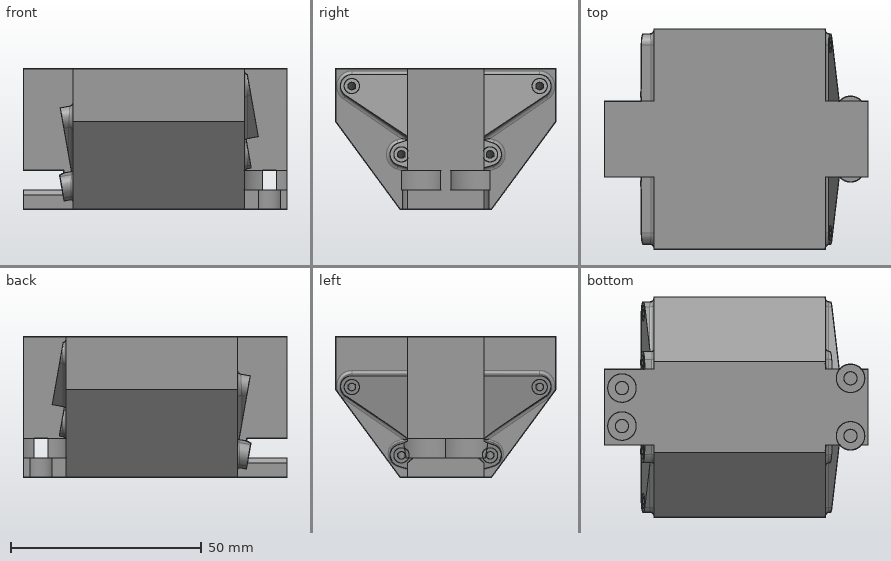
import cadquery as cq
import math

OVERALL_LENGTH = 69.4
HEIGHT = 37.0
BLOCK_WIDTH = 58.0
BLOCK_LEFT = -21.65
BLOCK_RIGHT = 23.45
FLOOR_WIDTH = 24.0
TAPER_HEIGHT = 23.1
ARM_WIDTH = 20.0

FOOT_HEIGHT = 5.15
FOOT_CHAMFER = 1.3
CLEARANCE_HEIGHT = 5.15
CLEARANCE_DIAMETER = 15.55
SCREW_SLEEVE_DIAMETER = 7.5
SCREW_HOLE_DIAMETER = 3.5
SEAT_X = 30.05
LEFT_SEAT_Y = 5.0
RIGHT_SEAT_Y = 7.6
SEATS = [
    (-SEAT_X, -LEFT_SEAT_Y),
    (-SEAT_X, LEFT_SEAT_Y),
    (SEAT_X, -RIGHT_SEAT_Y),
    (SEAT_X, RIGHT_SEAT_Y),
]

TILT = math.radians(10)
PAD_LENGTH = 50.0
BOSS_RADIUS = 3.0
UPPER_PAD_CENTER = (0.15, 28.1)
UPPER_BOSS_Y = 24.7
UPPER_PAD_SLOPE = math.radians(34)
UPPER_PAD_FILLETS = (1.0, 1.0)
LOWER_PAD_CENTER = (0.0, 10.15)
LOWER_BOSS_Y = 11.65
LOWER_PAD_SLOPE = math.radians(17)
LOWER_PAD_FLAT_Y = 8.3
LOWER_PAD_FILLETS = (0.5, 1.0)

TUBE_DIAMETER = 4.0
TUBE_HOLE_DIAMETER = 2.0

PAD_STOCK_LENGTH = 62.5
STOCK_SIZE = 2 * OVERALL_LENGTH
SEAM_TOLERANCE = 0.01


def tapered_prism(x_min, x_max):
    """The block's cross-section extruded along X."""
    half_width = BLOCK_WIDTH / 2
    half_floor = FLOOR_WIDTH / 2
    outline = [
        (-half_floor, 0),
        (half_floor, 0),
        (half_width, TAPER_HEIGHT),
        (half_width, HEIGHT),
        (-half_width, HEIGHT),
        (-half_width, TAPER_HEIGHT),
    ]
    return cq.Workplane("YZ", origin=(x_min, 0, 0)).polyline(outline).close().extrude(x_max - x_min)


def arms():
    """Full-height bar through the block, chamfered along the top edges of its left foot."""
    bar = cq.Workplane("XY").box(OVERALL_LENGTH, ARM_WIDTH, HEIGHT, centered=(True, True, False))
    half_width = ARM_WIDTH / 2
    bar_end = cq.Workplane("YZ", origin=(-OVERALL_LENGTH / 2, 0, 0))
    for side in (-1, 1):
        triangle = [
            (side * half_width, FOOT_HEIGHT),
            (side * (half_width - FOOT_CHAMFER), FOOT_HEIGHT),
            (side * half_width, FOOT_HEIGHT - FOOT_CHAMFER),
        ]
        bar = bar.cut(bar_end.polyline(triangle).close().extrude(OVERALL_LENGTH / 2 + BLOCK_LEFT))
    return bar


def seat_cylinders(diameter, bottom, height):
    """One upright cylinder at each screw seat."""
    return cq.Workplane("XY", origin=(0, 0, bottom)).pushPoints(SEATS).circle(diameter / 2).extrude(height)


def tilted_workplane(center, length):
    """Workplane at the left end of a tilted axis of this length; local x is +Y and local y points up."""
    axis = cq.Vector(math.cos(TILT), 0, math.sin(TILT))
    origin = cq.Vector(center[0], 0, center[1]) - axis * (length / 2)
    return cq.Workplane(cq.Plane(origin=origin, xDir=(0, 1, 0), normal=axis))


def upper_pad_stock():
    """Triangle with a level top edge, rounded about the two upper bosses."""
    tangent_y = UPPER_BOSS_Y + BOSS_RADIUS * math.sin(UPPER_PAD_SLOPE)
    tangent_z = -BOSS_RADIUS * math.cos(UPPER_PAD_SLOPE)
    tip_z = tangent_z - tangent_y * math.tan(UPPER_PAD_SLOPE)
    outer_y = UPPER_BOSS_Y + BOSS_RADIUS
    return (
        tilted_workplane(UPPER_PAD_CENTER, PAD_STOCK_LENGTH)
        .moveTo(-UPPER_BOSS_Y, BOSS_RADIUS)
        .lineTo(UPPER_BOSS_Y, BOSS_RADIUS)
        .threePointArc((outer_y, 0), (tangent_y, tangent_z))
        .lineTo(0, tip_z)
        .lineTo(-tangent_y, tangent_z)
        .threePointArc((-outer_y, 0), (-UPPER_BOSS_Y, BOSS_RADIUS))
        .close()
        .extrude(PAD_STOCK_LENGTH)
    )


def lower_pad_stock():
    """Strip that widens from the two lower bosses toward its flat middle."""
    tangent_y = LOWER_BOSS_Y + BOSS_RADIUS * math.sin(LOWER_PAD_SLOPE)
    tangent_z = BOSS_RADIUS * math.cos(LOWER_PAD_SLOPE)
    flat_z = tangent_z + (tangent_y - LOWER_PAD_FLAT_Y) * math.tan(LOWER_PAD_SLOPE)
    outer_y = LOWER_BOSS_Y + BOSS_RADIUS
    return (
        tilted_workplane(LOWER_PAD_CENTER, PAD_STOCK_LENGTH)
        .moveTo(-LOWER_PAD_FLAT_Y, flat_z)
        .lineTo(LOWER_PAD_FLAT_Y, flat_z)
        .lineTo(tangent_y, tangent_z)
        .threePointArc((outer_y, 0), (tangent_y, -tangent_z))
        .lineTo(LOWER_PAD_FLAT_Y, -flat_z)
        .lineTo(-LOWER_PAD_FLAT_Y, -flat_z)
        .lineTo(-tangent_y, -tangent_z)
        .threePointArc((-outer_y, 0), (-tangent_y, tangent_z))
        .close()
        .extrude(PAD_STOCK_LENGTH)
    )


def blended_pad(pad_stock, center, fillets):
    """The pad with fillets where it leaves the two end faces of the block.

    The fillets run off the block's tapered edge and the pad's end faces, so they are made between an
    overlong pad and an oversized slab, then trimmed to the pad's length and the block's cross-section.
    """
    slab = cq.Workplane("YZ", origin=(BLOCK_LEFT, 0, 0)).rect(STOCK_SIZE, STOCK_SIZE)
    blended = slab.extrude(BLOCK_RIGHT - BLOCK_LEFT).union(pad_stock)
    reach = STOCK_SIZE / 2 - 0.7
    for face_x, fillet in zip((BLOCK_LEFT, BLOCK_RIGHT), fillets):
        seam = cq.selectors.BoxSelector(
            (face_x - SEAM_TOLERANCE, -reach, -reach),
            (face_x + SEAM_TOLERANCE, reach, reach),
            boundingbox=True,
        )
        blended = blended.edges(seam).fillet(fillet)
    pad_extent = tilted_workplane(center, PAD_LENGTH).rect(STOCK_SIZE, STOCK_SIZE).extrude(PAD_LENGTH)
    cross_section = tapered_prism(-OVERALL_LENGTH / 2, OVERALL_LENGTH / 2)
    return blended.intersect(pad_extent).intersect(cross_section)


def boss_cylinders(diameter):
    """One tilted cylinder through each boss, as long as the pads."""
    cylinders = cq.Workplane("XY")
    for center, boss_y in ((UPPER_PAD_CENTER, UPPER_BOSS_Y), (LOWER_PAD_CENTER, LOWER_BOSS_Y)):
        boss_points = tilted_workplane(center, PAD_LENGTH).pushPoints([(-boss_y, 0), (boss_y, 0)])
        cylinders = cylinders.add(boss_points.circle(diameter / 2).extrude(PAD_LENGTH).solids())
    return cylinders.combine()


def make_housing():
    """Block, arms and pads in one piece, with room for the screws, their sleeves and the tubes."""
    return (
        tapered_prism(BLOCK_LEFT, BLOCK_RIGHT)
        .union(arms())
        .union(blended_pad(upper_pad_stock(), UPPER_PAD_CENTER, UPPER_PAD_FILLETS))
        .union(blended_pad(lower_pad_stock(), LOWER_PAD_CENTER, LOWER_PAD_FILLETS))
        .cut(seat_cylinders(CLEARANCE_DIAMETER, FOOT_HEIGHT, CLEARANCE_HEIGHT))
        .cut(seat_cylinders(SCREW_SLEEVE_DIAMETER, 0, FOOT_HEIGHT))
        .cut(boss_cylinders(TUBE_DIAMETER))
    )


def make_screw_sleeves():
    """Sleeves as tall as the feet, one around each screw hole."""
    outside = seat_cylinders(SCREW_SLEEVE_DIAMETER, 0, FOOT_HEIGHT)
    return outside.cut(seat_cylinders(SCREW_HOLE_DIAMETER, 0, FOOT_HEIGHT))


def make_tubes():
    """Tubes flush with the pads; the screw clearance cuts also take a bite out of the lower ones."""
    outside = boss_cylinders(TUBE_DIAMETER)
    tubes = outside.cut(boss_cylinders(TUBE_HOLE_DIAMETER))
    return tubes.cut(seat_cylinders(CLEARANCE_DIAMETER, FOOT_HEIGHT, CLEARANCE_HEIGHT))


housing = make_housing()
screw_sleeves = make_screw_sleeves()
tubes = make_tubes()

result = cq.Compound.makeCompound(
    [
        housing.solids().val(),
        *screw_sleeves.solids().vals(),
        *tubes.solids().vals(),
    ]
)